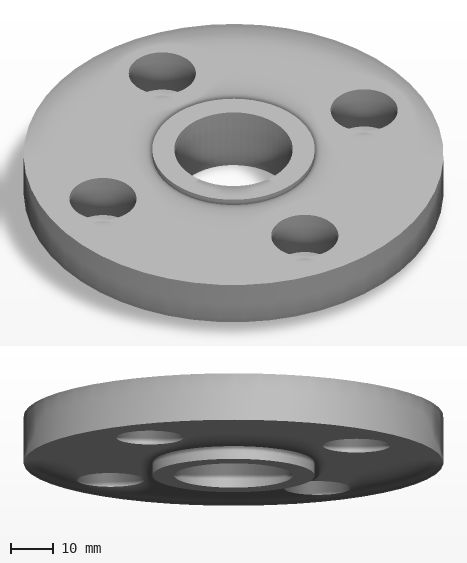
import cadquery as cq

flange_diameter = 98.55
total_height = 15.8

hub_diameter = 38.1
hub_rise_below = 3.1
hub_rise_above = 1.6
bore_diameter = 27.8

bolt_hole_diameter = 15.8
bolt_hole_spacing = 49.4

flange_thickness = total_height - hub_rise_below - hub_rise_above

hub = cq.Workplane("XY").circle(hub_diameter / 2).extrude(total_height)

flange = (
    cq.Workplane("XY", origin=(0, 0, hub_rise_below))
    .circle(flange_diameter / 2)
    .extrude(flange_thickness)
)

bore = cq.Workplane("XY").circle(bore_diameter / 2).extrude(total_height)

bolt_holes = (
    cq.Workplane("XY")
    .rarray(bolt_hole_spacing, bolt_hole_spacing, 2, 2)
    .circle(bolt_hole_diameter / 2)
    .extrude(total_height)
)

result = flange.union(hub).cut(bore).cut(bolt_holes)